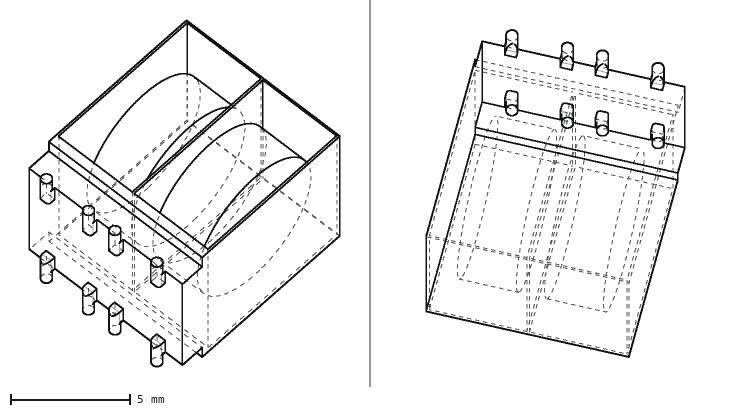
import cadquery as cq

width = 8.75
total_depth = 10.2
height = 7.2
outer_wall = 0.11
divider = 0.11
back_wall = 0.08
floor = 0.1
cavity_depth_y = 7.93
main_depth = 8.49
step_height = 0.67

pin_diameter = 0.5
pin_length = 1.51
pin_offsets = [0.75, 3.15]

core_diameter = 7.0
core_width = 2.54
core_inner_offset = 0.61
core_center_y = 6.22

pin_radius = pin_diameter / 2
pin_axis_y = pin_radius
face_y = pin_diameter
back_y = total_depth
step_y = back_y - main_depth
cavity_back_y = back_y - back_wall
cavity_width = (width - 2 * outer_wall - divider) / 2
cavity_center_x = (divider + cavity_width) / 2
core_center_z = floor + core_diameter / 2


def box(size_x, size_y, size_z, center_x, min_y, min_z):
    """Box centred on center_x, rising from min_y and min_z."""
    block = cq.Workplane("XY").box(size_x, size_y, size_z, centered=(True, False, False))
    return block.translate((center_x, min_y, min_z))


def make_lower_pin(x):
    """Lower pin: a rod whose upper end is rounded forward and joined to the front face."""
    rod = cq.Workplane("XY").center(x, pin_axis_y).circle(pin_radius).extrude(pin_length)
    side_outline = (
        cq.Workplane("YZ", origin=(x - pin_radius, 0, 0))
        .rect(pin_diameter, pin_length, centered=False)
        .extrude(pin_diameter)
        .edges("|X and >Z and <Y")
        .fillet(pin_radius)
    )
    rod = rod.intersect(side_outline)
    root_height = pin_length - step_height
    root = box(pin_diameter, face_y - pin_axis_y, root_height, x, pin_axis_y, step_height)
    return rod.union(root)


def make_housing():
    """Walled box with two cavities, a stepped front and two rows of pins."""
    body = box(width, main_depth, height, 0, step_y, 0)
    front_height = height - 2 * step_height
    body = body.union(box(width, step_y - face_y, front_height, 0, face_y, step_height))
    cavity_min_y = cavity_back_y - cavity_depth_y
    for side in (-1, 1):
        center_x = side * cavity_center_x
        body = body.cut(box(cavity_width, cavity_depth_y, height - floor, center_x, cavity_min_y, floor))
    for side in (-1, 1):
        for offset in pin_offsets:
            lower_pin = make_lower_pin(side * offset)
            upper_pin = lower_pin.mirror("XY", (0, 0, height / 2))
            body = body.union(lower_pin).union(upper_pin)
    return body


def make_core(side):
    """Disc resting on the cavity floor on the given side of the divider."""
    center_x = side * (core_inner_offset + core_width / 2)
    start = (center_x - core_width / 2, core_center_y, core_center_z)
    return cq.Workplane("YZ", origin=start).circle(core_diameter / 2).extrude(core_width)


housing = make_housing()
cores = [make_core(side) for side in (-1, 1)]

result = cq.Compound.makeCompound([housing.val(), *[core.val() for core in cores]])